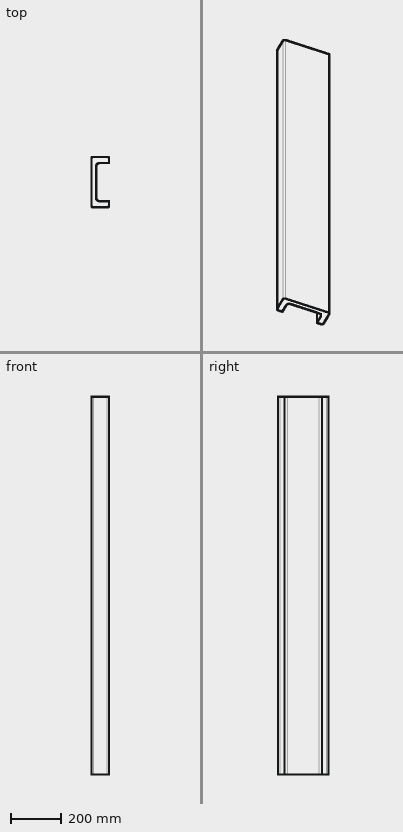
import cadquery as cq

length = 1500.0
flange_width = 70.0
depth = 201.0
web_thickness = 20.0
flange_thickness = 25.0
root_radius = 12.0
edge_radius = 8.0

inner_depth = depth - 2 * flange_thickness

bar = cq.Workplane("XY").box(flange_width, depth, length, centered=(False, True, False))
bar = bar.edges("|Z").fillet(edge_radius)

channel_space = (
    cq.Workplane("XY")
    .box(flange_width, inner_depth, length, centered=(False, True, False))
    .edges("|Z and <X")
    .fillet(root_radius)
    .translate((web_thickness, 0, 0))
)

result = bar.cut(channel_space)